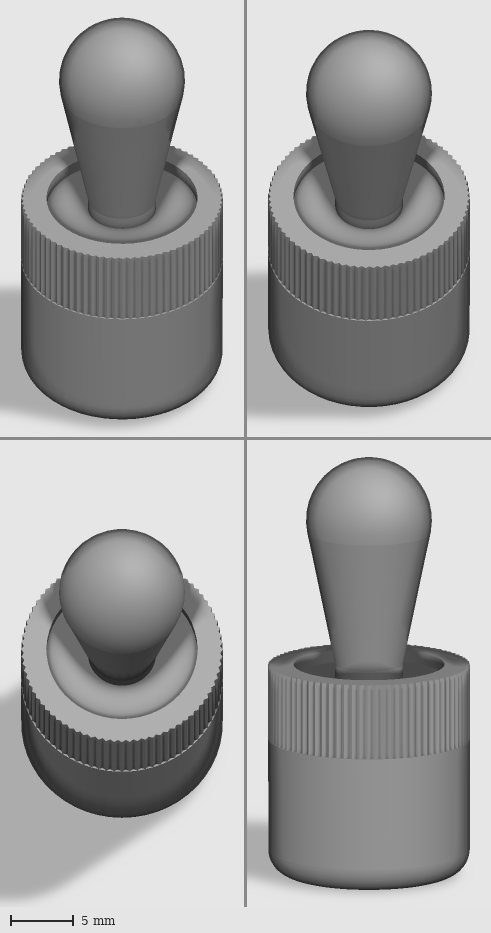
import cadquery as cq
import math

housing_diameter = 16.0
housing_height = 17.0
bottom_fillet = 2.0
knurl_height = 6.0
groove_count = 80
groove_depth = 0.2
recess_diameter = 12.0
recess_depth = 1.0

overall_height = 33.7
ball_diameter = 10.0
taper_drop = 1.0

housing_radius = housing_diameter / 2
recess_floor = housing_height - recess_depth
ball_radius = ball_diameter / 2
ball_centre = overall_height - ball_radius
taper_top = ball_centre - taper_drop
taper_top_radius = math.sqrt(ball_radius**2 - taper_drop**2)
taper_slope = taper_drop / taper_top_radius
neck_radius = taper_top_radius - taper_slope * (taper_top - housing_height)


def make_knurl_ring():
    """Ring whose outside is a full circle of V grooves with sharp crests."""
    root_radius = housing_radius - groove_depth
    half_pitch = math.pi / groove_count
    outline = []
    for step in range(2 * groove_count):
        radius = root_radius if step % 2 == 0 else housing_radius
        angle = step * half_pitch
        outline.append((radius * math.cos(angle), radius * math.sin(angle)))
    return (
        cq.Workplane("XY")
        .workplane(offset=housing_height - knurl_height)
        .polyline(outline)
        .close()
        .extrude(knurl_height)
    )


def make_housing():
    cup = (
        cq.Workplane("XY")
        .circle(housing_radius)
        .extrude(housing_height - knurl_height)
        .faces("<Z")
        .edges()
        .fillet(bottom_fillet)
    )
    recess = (
        cq.Workplane("XY")
        .workplane(offset=recess_floor)
        .circle(recess_diameter / 2)
        .extrude(recess_depth)
    )
    return cup.union(make_knurl_ring()).cut(recess)


def make_lever():
    """Neck, taper and ball, turned about the Z axis."""
    return (
        cq.Workplane("XZ")
        .moveTo(0, recess_floor)
        .lineTo(neck_radius, recess_floor)
        .lineTo(neck_radius, housing_height)
        .lineTo(taper_top_radius, taper_top)
        .threePointArc((ball_radius, ball_centre), (0, overall_height))
        .close()
        .revolve(360, (0, 0), (0, 1))
    )


housing = make_housing()
lever = make_lever()

result = cq.Compound.makeCompound([housing.val(), lever.val()])